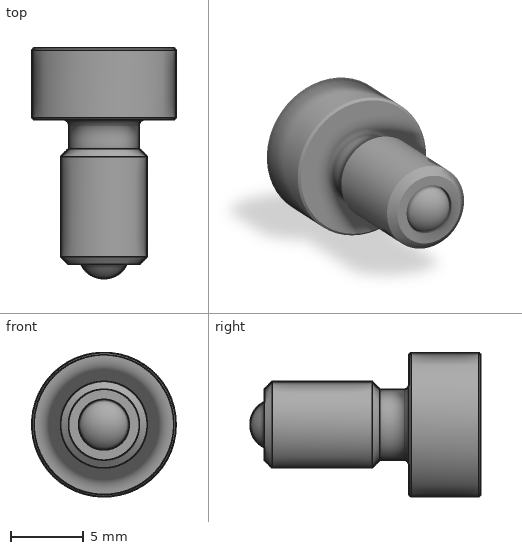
import cadquery as cq

total_length = 16.0
head_diameter = 10.0
head_length = head_diameter / 2
head_chamfer = 0.16
neck_diameter = 4.91
neck_length = 2.0
neck_fillet = 0.32
shank_diameter = 6.0
shank_chamfer = (shank_diameter - neck_diameter) / 2
ball_diameter = 3.5
ball_projection = 1.0

head_front = -head_length
shank_back = head_front - neck_length
shank_front = -(total_length - ball_projection)
ball_radius = ball_diameter / 2
ball_center = -total_length + ball_radius
socket_floor = ball_center + ball_radius


def cylinder(diameter, y_start, y_end):
    """Cylinder on the Y axis, running from y_start towards -Y to y_end."""
    return (
        cq.Workplane("XZ", origin=(0, y_start, 0))
        .circle(diameter / 2)
        .extrude(y_start - y_end)
    )


def make_screw():
    """Headed screw with an undercut neck and a ball socket in its tip."""
    head = cylinder(head_diameter, 0, head_front).edges().chamfer(head_chamfer)
    neck = cylinder(neck_diameter, head_front, shank_back)
    shank = cylinder(shank_diameter, shank_back, shank_front).edges().chamfer(shank_chamfer)
    neck_ends = cq.selectors.RadiusNthSelector(0)
    body = head.union(neck).edges("%CIRCLE").edges(neck_ends).edges(">Y").fillet(neck_fillet)
    body = body.union(shank)
    socket = cylinder(ball_diameter, socket_floor, shank_front)
    return body.cut(socket)


def make_ball():
    """Ball resting on the socket floor and projecting from the screw tip."""
    return cq.Workplane("XY", origin=(0, ball_center, 0)).sphere(ball_radius)


screw = make_screw()
ball = make_ball()
result = cq.Compound.makeCompound([screw.val(), ball.val()])